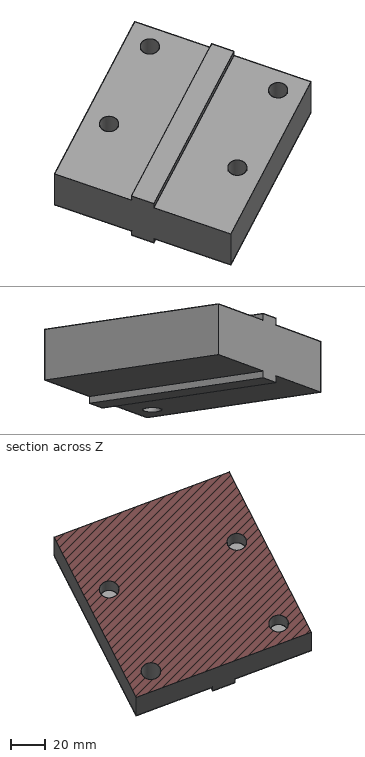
import cadquery as cq

width = 110.0
length = 118.0
block_height = 30.0

key_width = 14.0
key_height = 4.0

hole_diameter = 11.0
hole_spacing_x = 80.0
hole_spacing_y = 60.0
back_edge_distance = 13.0
blind_depth = 20.0

right_x = hole_spacing_x / 2
left_x = -right_x
back_y = length / 2 - back_edge_distance
front_y = back_y - hole_spacing_y

through_hole = (right_x, back_y)
blind_holes = [(left_x, back_y), (left_x, front_y), (right_x, front_y)]


def keyed_block():
    """Block centred on the origin, with a key on its top and bottom faces."""
    block = cq.Workplane("XY").box(width, length, block_height)
    keys = cq.Workplane("XY").box(key_width, length, block_height + 2 * key_height)
    return block.union(keys)


def hole_cutters(centers, depth):
    """Flat-ended cylinders reaching down from the top face of the block."""
    top_plane = cq.Workplane("XY").workplane(offset=block_height / 2)
    return top_plane.pushPoints(centers).circle(hole_diameter / 2).extrude(-depth)


result = (
    keyed_block()
    .cut(hole_cutters([through_hole], block_height))
    .cut(hole_cutters(blind_holes, blind_depth))
)